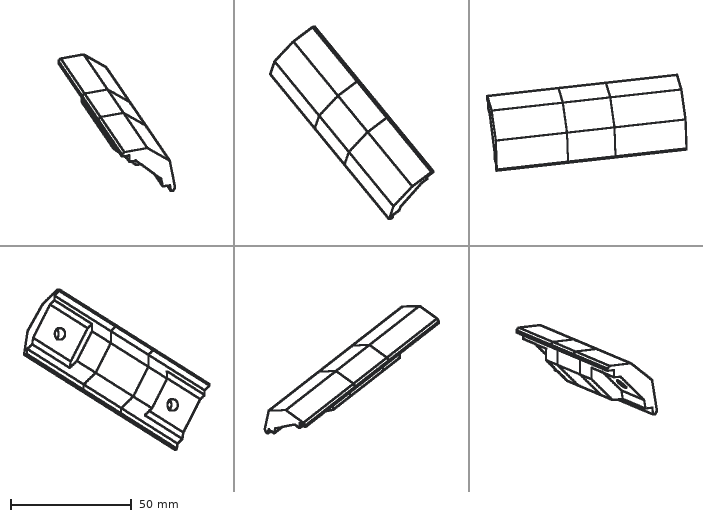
import cadquery as cq

length = 79.85
depth = 23.3
height = 22.9
middle_length = length / 4
end_length = (length - middle_length) / 2

lip_thickness = 2.0
lip_chamfer = 1.0
top_flat_depth = 11.1
shoulder_y = 21.0
shoulder_z = 14.8
back_foot_z = 1.35
toe_back_y = 22.4
toe_front_y = 21.5
toe_root_y = 21.1
front_y = 3.2
bottom_z = 2.95
bevel_size = 10.0

recess_length = 20.0
recess_top_z = 17.8
seat_front_y = 6.1
seat_size = 11.2
recess_wall_foot_y = 17.9

hole_diameter = 4.8
hole_depth = 6.0
hole_z = 11.9


def extrude_along_x(points, start, distance):
    """Extrude a (Y, Z) outline in the +X direction."""
    return cq.Workplane("YZ", origin=(start, 0, 0)).polyline(points).close().extrude(distance)


def bar_segment(start, distance):
    """Plain length of the bar."""
    lip_bottom_z = height - lip_thickness
    outline = [
        (0, lip_bottom_z),
        (0, height - lip_chamfer),
        (lip_chamfer, height),
        (top_flat_depth, height),
        (shoulder_y, shoulder_z),
        (depth, back_foot_z),
        (toe_back_y, 0),
        (toe_front_y, 0),
        (toe_root_y, bottom_z),
        (front_y + bevel_size, bottom_z),
        (front_y, bottom_z + bevel_size),
        (front_y, lip_bottom_z),
    ]
    return extrude_along_x(outline, start, distance)


def recess_cutter(start):
    """Space cleared for the mounting seat, open to the front and below."""
    outline = [
        (front_y, recess_top_z),
        (seat_front_y, recess_top_z),
        (seat_front_y + seat_size, recess_top_z - seat_size),
        (recess_wall_foot_y, bottom_z),
        (front_y, bottom_z),
    ]
    return extrude_along_x(outline, start, recess_length)


def screw_hole(x):
    """Blind hole entering the seat upward and rearward at 45 degrees."""
    hole_y = seat_front_y + recess_top_z - hole_z
    seat_plane = cq.Plane(origin=(x, hole_y, hole_z), xDir=(1, 0, 0), normal=(0, 1, 1))
    return cq.Workplane(seat_plane).circle(hole_diameter / 2).extrude(hole_depth)


def end_body(start, recess_start):
    """End length of the bar with its recess and screw hole."""
    hole_x = recess_start + recess_length / 2
    return bar_segment(start, end_length).cut(recess_cutter(recess_start)).cut(screw_hole(hole_x))


middle_body = bar_segment(end_length, middle_length)
end_positions = [(0, 0), (length - end_length, length - recess_length)]
end_bodies = [end_body(start, recess_start) for start, recess_start in end_positions]

result = cq.Compound.makeCompound([middle_body.val(), *[body.val() for body in end_bodies]])